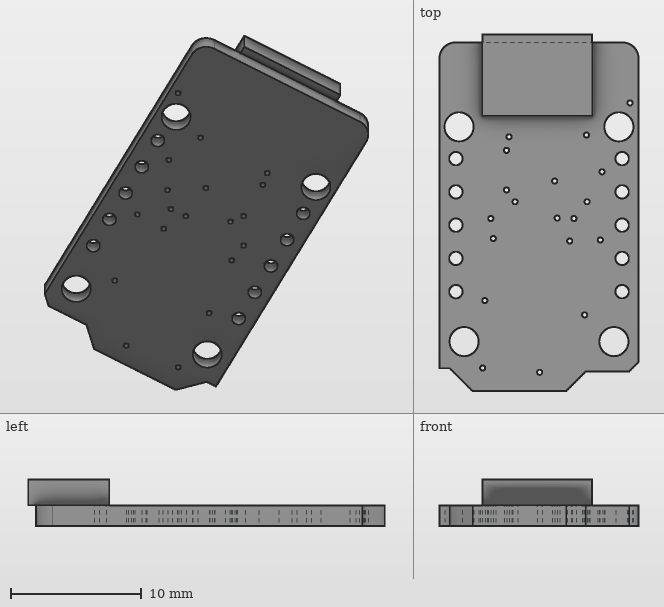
import cadquery as cq

BOARD_WIDTH = 15.23
BOARD_THICKNESS = 1.58
TOTAL_LENGTH = 27.25
HALF_WIDTH = BOARD_WIDTH / 2
TOP_CORNER_RADIUS = 1.25

CONNECTOR_WIDTH = 8.4
CONNECTOR_LENGTH = 6.2
CONNECTOR_HEIGHT = 2.0
CONNECTOR_CENTER_X = -0.14
CONNECTOR_OVERHANG = 0.6
BOARD_LENGTH = TOTAL_LENGTH - CONNECTOR_OVERHANG

LEFT_SHOULDER_Y = 1.75
RIGHT_SHOULDER_Y = 1.5
TAB_LEFT_X = -5.07
TAB_RIGHT_X = 2.07
RIGHT_CORNER_CHAMFER = 0.74

MOUNT_DIAMETER = 2.2
UPPER_MOUNT_X = 6.1
UPPER_MOUNT_Y = 20.2
LOWER_MOUNT_X = 5.72
LOWER_MOUNT_Y = 3.8

PIN_DIAMETER = 1.0
PIN_ROW_X = 6.35
PIN_COUNT = 5
PIN_ROW_LENGTH = 10.16
PIN_PITCH = PIN_ROW_LENGTH / (PIN_COUNT - 1)
FIRST_PIN_Y = 7.6

VIA_DIAMETER = 0.38
VIA_CENTERS = [
    (6.95, 22.02),
    (3.62, 19.57),
    (-2.3, 19.43),
    (-2.48, 18.4),
    (4.82, 16.75),
    (1.2, 16.05),
    (-2.48, 15.37),
    (-1.83, 14.47),
    (3.68, 14.47),
    (-3.68, 13.2),
    (1.4, 13.22),
    (2.67, 13.2),
    (-3.5, 11.65),
    (4.7, 11.55),
    (2.35, 11.47),
    (-4.15, 6.92),
    (3.5, 5.83),
    (-4.3, 1.77),
    (0.05, 1.45),
]


def make_board_blank():
    """Board plate with rounded upper corners and the lower tab."""
    outline = [
        (-HALF_WIDTH, BOARD_LENGTH),
        (-HALF_WIDTH, LEFT_SHOULDER_Y),
        (TAB_LEFT_X - LEFT_SHOULDER_Y, LEFT_SHOULDER_Y),
        (TAB_LEFT_X, 0),
        (TAB_RIGHT_X, 0),
        (TAB_RIGHT_X + RIGHT_SHOULDER_Y, RIGHT_SHOULDER_Y),
        (HALF_WIDTH - RIGHT_CORNER_CHAMFER, RIGHT_SHOULDER_Y),
        (HALF_WIDTH, RIGHT_SHOULDER_Y + RIGHT_CORNER_CHAMFER),
        (HALF_WIDTH, BOARD_LENGTH),
    ]
    plate = cq.Workplane("XY").polyline(outline).close().extrude(BOARD_THICKNESS)
    return plate.faces(">Y").edges("|Z").fillet(TOP_CORNER_RADIUS)


def drill_through(board, centers, diameter):
    """Cut round holes through the full thickness of the board."""
    drills = cq.Workplane("XY").pushPoints(centers).circle(diameter / 2).extrude(BOARD_THICKNESS)
    return board.cut(drills)


def make_board():
    """Board with its mounting holes, pin holes and vias."""
    mount_centers = [
        (side * x, y)
        for x, y in [(UPPER_MOUNT_X, UPPER_MOUNT_Y), (LOWER_MOUNT_X, LOWER_MOUNT_Y)]
        for side in (-1, 1)
    ]
    pin_centers = [
        (side * PIN_ROW_X, FIRST_PIN_Y + index * PIN_PITCH)
        for index in range(PIN_COUNT)
        for side in (-1, 1)
    ]
    board = make_board_blank()
    board = drill_through(board, mount_centers, MOUNT_DIAMETER)
    board = drill_through(board, pin_centers, PIN_DIAMETER)
    return drill_through(board, VIA_CENTERS, VIA_DIAMETER)


def make_connector():
    """Plain block resting on the board, flush with the overall upper end."""
    center_y = TOTAL_LENGTH - CONNECTOR_LENGTH / 2
    return (
        cq.Workplane("XY", origin=(CONNECTOR_CENTER_X, center_y, BOARD_THICKNESS))
        .rect(CONNECTOR_WIDTH, CONNECTOR_LENGTH)
        .extrude(CONNECTOR_HEIGHT)
    )


board = make_board()
connector = make_connector()

result = cq.Compound.makeCompound([board.val(), connector.val()])